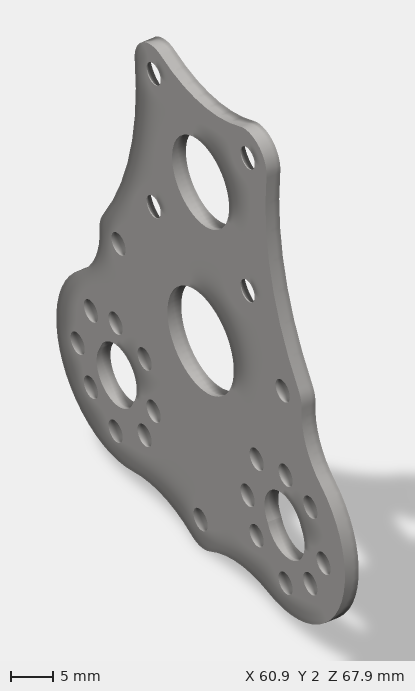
import cadquery as cq
import math

width = 60.9
height = 67.9
thickness = 2.0

corner_radius = 4.0
lobe_radius = 13.0
corner_x = 9.9
corner_z = 33.4
ear_x = 17.3
ear_z = 3.5
lobe_x = width / 2 - lobe_radius
lobe_z = -15.75
tail_z = corner_z + 2 * corner_radius - height

top_arc_radius = 20.15
side_arc_radius = 41.15
waist_arc_radius = 10.25
bottom_arc_radius = 16.5

screw_diameter = 3.0
countersink_diameter = 7.5
countersink_depth = 1.8
large_bore_diameter = 14.0
small_bore_diameter = 12.0
small_bore_z = 23.55

motor_bore_diameter = 8.0
motor_bolt_radius = 8.0
cross_center = (17.9, -16.6)
diagonal_center = (lobe_x, lobe_z)


def front_plane():
    """Sketch plane on the -Y face of the plate, which is centred on Y = 0."""
    return cq.Workplane("XZ", origin=(0, -thickness / 2, 0))


def toward(start, target, distance):
    """Point at a distance from start along the line to target."""
    ratio = distance / math.dist(start, target)
    return tuple(s + ratio * (t - s) for s, t in zip(start, target))


def midpoint(start, end):
    return tuple((a + b) / 2 for a, b in zip(start, end))


def joining_arc(first, second, arc_radius):
    """Start, middle and end of the concave arc between two rounds.

    The rounds are (x, z, radius), listed clockwise around the plate.
    """
    start = first[:2]
    end = second[:2]
    first_reach = arc_radius + first[2]
    second_reach = arc_radius + second[2]
    span = math.dist(start, end)
    along = (first_reach**2 - second_reach**2 + span**2) / (2 * span)
    offset = math.sqrt(first_reach**2 - along**2)
    ux = (end[0] - start[0]) / span
    uz = (end[1] - start[1]) / span
    center = (start[0] + along * ux - offset * uz, start[1] + along * uz + offset * ux)
    arc_start = toward(center, start, arc_radius)
    arc_end = toward(center, end, arc_radius)
    chord_middle = midpoint(arc_start, arc_end)
    return arc_start, toward(center, chord_middle, arc_radius), arc_end


def round_middle(rounded, arc_start, arc_end):
    """Outermost point of a round, halfway between its two tangent points."""
    chord_middle = midpoint(arc_start, arc_end)
    return toward(rounded[:2], chord_middle, rounded[2])


def make_plate():
    outline = [
        ((-corner_x, corner_z, corner_radius), top_arc_radius),
        ((corner_x, corner_z, corner_radius), side_arc_radius),
        ((ear_x, ear_z, corner_radius), waist_arc_radius),
        ((lobe_x, lobe_z, lobe_radius), bottom_arc_radius),
        ((0, tail_z, corner_radius), bottom_arc_radius),
        ((-lobe_x, lobe_z, lobe_radius), waist_arc_radius),
        ((-ear_x, ear_z, corner_radius), side_arc_radius),
    ]
    rounds = [rounded for rounded, _ in outline]
    next_rounds = rounds[1:] + rounds[:1]
    arcs = [
        joining_arc(rounded, following, arc_radius)
        for (rounded, arc_radius), following in zip(outline, next_rounds)
    ]
    next_arcs = arcs[1:] + arcs[:1]
    profile = front_plane().moveTo(*arcs[0][0])
    for arc, rounded, next_arc in zip(arcs, next_rounds, next_arcs):
        profile = profile.threePointArc(arc[1], arc[2])
        profile = profile.threePointArc(round_middle(rounded, arc[2], next_arc[0]), next_arc[0])
    return profile.close().extrude(-thickness)


def drill(centers, diameter):
    """Cutting cylinders that pass through the plate."""
    return front_plane().pushPoints(centers).circle(diameter / 2).extrude(-thickness)


def countersinks(centers):
    """Cones that open on the +Y face and narrow to the screw diameter."""
    radius = countersink_diameter / 2
    taper = math.degrees(math.atan((radius - screw_diameter / 2) / countersink_depth))
    back_plane = cq.Workplane("XZ", origin=(0, thickness / 2, 0))
    return back_plane.pushPoints(centers).circle(radius).extrude(countersink_depth, taper=taper)


def bolt_circle(center, first_angle):
    angles = [math.radians(first_angle + 90 * i) for i in range(4)]
    return [
        (center[0] + motor_bolt_radius * math.cos(a), center[1] + motor_bolt_radius * math.sin(a))
        for a in angles
    ]


def mirrored(points):
    return points + [(-x, z) for x, z in points]


lower_hole_z = 2 * small_bore_z - corner_z
square_holes = mirrored([(corner_x, corner_z), (corner_x, lower_hole_z)])
ear_holes = mirrored([(ear_x, ear_z)])
motor_holes = mirrored(bolt_circle(cross_center, 0) + bolt_circle(diagonal_center, 45))

result = make_plate()
result = result.cut(drill(square_holes + ear_holes + motor_holes + [(0, tail_z)], screw_diameter))
result = result.cut(countersinks(square_holes))
result = result.cut(drill([(0, 0)], large_bore_diameter))
result = result.cut(drill([(0, small_bore_z)], small_bore_diameter))

for bore_center in (cross_center, diagonal_center):
    result = result.cut(drill(mirrored([bore_center]), motor_bore_diameter))